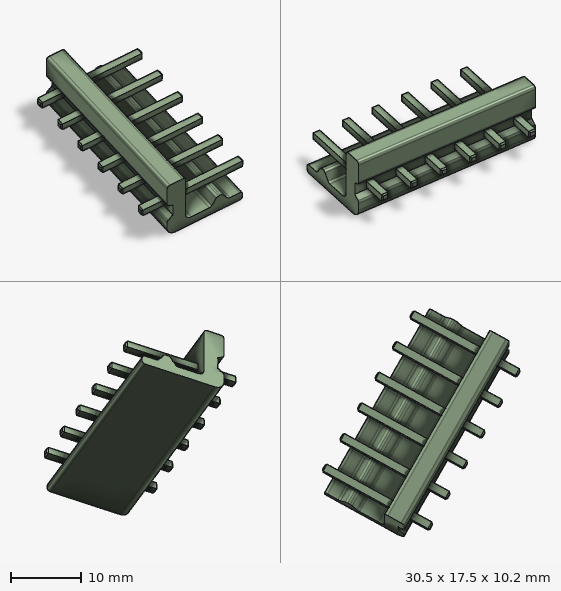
import cadquery as cq


length = 30.48
body_depth = 12.98
height = 10.2
wall_thickness = 3.17
base_thickness = 1.5

ridge_from_edge = 3.95
ridge_y = body_depth - ridge_from_edge
ridge_top_z = 2 * base_thickness
ridge_foot_half_width = 1.5
ridge_top_half_width = 0.43

groove_depth = 0.98
groove_floor_bottom = 3.78
groove_floor_top = 5.75
groove_mouth_bottom = 3.0
groove_mouth_top = 6.25

edge_radius = 0.52
heel_radius = base_thickness
inner_corner_radius = 1.0

pin_count = 6
pin_pitch = length / pin_count
pin_side = 1.13
pin_length = 17.5
pin_overhang_front = 3.0
pin_z = 4.7
pin_tip_chamfer = 0.2

profile = [
    (0, 0, heel_radius),
    (body_depth, 0, edge_radius),
    (body_depth, base_thickness, edge_radius),
    (ridge_y + ridge_foot_half_width, base_thickness, edge_radius),
    (ridge_y + ridge_top_half_width, ridge_top_z, edge_radius),
    (ridge_y - ridge_top_half_width, ridge_top_z, edge_radius),
    (ridge_y - ridge_foot_half_width, base_thickness, edge_radius),
    (wall_thickness, base_thickness, inner_corner_radius),
    (wall_thickness, height, edge_radius),
    (0, height, edge_radius),
    (0, groove_mouth_top, edge_radius),
    (groove_depth, groove_floor_top, 0),
    (groove_depth, groove_floor_bottom, 0),
    (0, groove_mouth_bottom, edge_radius),
]


def make_housing():
    """Extrude the profile along X, then round its long edges."""
    corners = [(y, z) for y, z, _ in profile]
    housing = cq.Workplane("YZ").polyline(corners).close().extrude(length / 2, both=True)
    for radius in sorted({r for _, _, r in profile if r > 0}):
        edges = []
        for y, z, corner_radius in profile:
            if corner_radius == radius:
                nearest = cq.NearestToPointSelector((0, y, z))
                edges += housing.edges("|X").edges(nearest).vals()
        housing = housing.newObject(edges).fillet(radius)
    return housing


def make_pin(x):
    """Square pin along Y with both tips chamfered."""
    pin_centre_y = pin_length / 2 - pin_overhang_front
    pin = cq.Workplane("XY").box(pin_side, pin_length, pin_side)
    pin = pin.faces("<Y or >Y").chamfer(pin_tip_chamfer)
    return pin.translate((x, pin_centre_y, pin_z))


result = make_housing()
for index in range(pin_count):
    pin_x = (index - (pin_count - 1) / 2) * pin_pitch
    result = result.union(make_pin(pin_x))